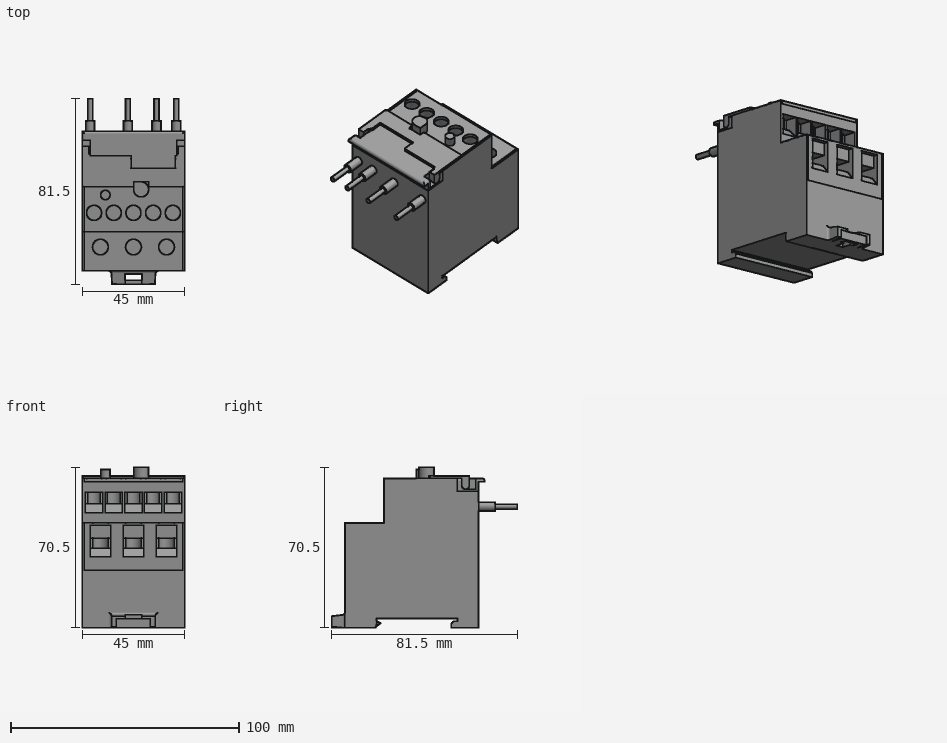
import cadquery as cq


WIDTH = 45.0
REAR_Y = 58.6
UPPER_FRONT_Y = 17.1
LOWER_TIER_Z = 46.05
UPPER_TIER_Z = 65.5
SIDE_WALL = 0.9
INNER_WIDTH = WIDTH - 2 * SIDE_WALL

RAIL_REAR_Y = 49.3
RAIL_FRONT_Y = 13.9
RAIL_DEPTH = 4.1
REAR_LEDGE_Z = 2.9
REAR_LEDGE_Y = 47.7
REAR_HOOK_Y = 46.6
REAR_HOOK_Z = 1.8
FRONT_RELIEF_Y = 13.45
HOOK_TIP_Y = 15.7
HOOK_TIP_Z = 2.0
HOOK_TOP_Z = 2.9
HOOK_BOTTOM_Z = 0.3

LATCH_REACH = 5.8
LATCH_BAR_WIDTH = 14.9
LATCH_BAR_HEIGHT = 4.0
LATCH_BAR_PROUD = 0.1
BOSS_BASE_WIDTH = 19.6
BOSS_FRONT_WIDTH = 18.9
BOSS_BASE_HEIGHT = 5.9
BOSS_FRONT_HEIGHT = 5.1
BOSS_UNDERSIDE_RISE = 0.6
BOSS_FILLET = 1.1
BOSS_SLOT_WIDTH = 7.3
BOSS_SLOT_START = 1.4
BOSS_SLOT_END = 4.0
BOSS_RECESS_WIDTH = 3.75
BOSS_RECESS_DEPTH = 4.9
EDGE_MARGIN = 0.1

UPPER_COUNT = 5
UPPER_PITCH = 8.6
UPPER_HOLE_DIAMETER = 6.6
UPPER_HOLE_Y = 25.5
UPPER_WINDOW_WIDTH = 7.7
UPPER_WINDOW_TOP = 59.4
UPPER_WINDOW_FLOOR = 54.45
UPPER_WINDOW_SILL = 50.4
UPPER_RAMP_DEPTH = 4.6
UPPER_WINDOW_DEPTH = 6.6

LOWER_COUNT = 3
LOWER_PITCH = 14.5
LOWER_HOLE_DIAMETER = 6.85
LOWER_HOLE_Y = 10.5
LOWER_WINDOW_WIDTH = 9.05
LOWER_WINDOW_TOP = 44.9
LOWER_LINTEL_Z = 39.4
LOWER_LINTEL_DEPTH = 2.45
LOWER_WINDOW_FLOOR = 34.8
LOWER_WINDOW_SILL = 31.2
LOWER_RAMP_DEPTH = 3.3
TERMINAL_BLOCK_BOTTOM = 25.2

LID_THICKNESS = 1.55
PLATE_THICKNESS = 1.15
PLATE_FRONT_Y = 36.8
PLATE_REAR_Y = 54.6
PLATE_CHAMFER = 0.5
PLATE_TOP_Z = UPPER_TIER_Z + PLATE_THICKNESS
CUTOUT_REAR_WIDTH = 39.1
CUTOUT_REAR_Y = 51.6
CUTOUT_MIDDLE_Y = 50.5
PRONG_WIDTH_Y = 3.35
PRONG_BOTTOM_Z = 60.8
DIAL_DIAMETER = 6.6
DIAL_X = 3.35
DIAL_Y = 35.8
DIAL_TOP_Z = 70.5
BUTTON_DIAMETER = 4.15
BUTTON_X = -12.3
BUTTON_Y = 33.3
BUTTON_TOP_Z = 69.5

COVER_FRONT_Y = 49.3
COVER_BOTTOM_Z = 60.0
COVER_LIP_Y = 61.3
COVER_LIP_THICKNESS = 1.55
COVER_FILLET = 1.15
COVER_NECK_WIDTH = 38.0
COVER_POCKET_REAR_Y = 57.4
TONGUE_LEFT_X = -1.1
TONGUE_RIGHT_X = 18.4
TONGUE_FRONT_Y = 45.0

PIN_POSITIONS_X = (-19.0, -2.45, 10.1, 18.75)
PIN_Z = 53.1
PIN_DIAMETER = 2.3
SLEEVE_DIAMETER = 4.0
SLEEVE_END_Y = 65.85
PIN_END_Y = 75.6


def box_between(x0, x1, y0, y1, z0, z1):
    """Axis-aligned box given by its limits."""
    return cq.Workplane("XY").box(x1 - x0, y1 - y0, z1 - z0, centered=False).translate((x0, y0, z0))


def centered_box(width, y0, y1, z0, z1):
    """Box symmetric about the plane X = 0."""
    return box_between(-width / 2, width / 2, y0, y1, z0, z1)


def side_profile(points, width, center_x=0):
    """Closed (Y, Z) outline extruded along X, centred on center_x."""
    outline = cq.Workplane("YZ").polyline(points).close()
    return outline.extrude(width / 2, both=True).translate((center_x, 0, 0))


def upright_cylinder(diameter, x, y, z0, z1):
    return cq.Workplane("XY", origin=(x, y, z0)).circle(diameter / 2).extrude(z1 - z0)


def row(count, pitch):
    """X positions of a row centred on X = 0."""
    return [(i - (count - 1) / 2) * pitch for i in range(count)]


def upper_screw_hole(x):
    return upright_cylinder(UPPER_HOLE_DIAMETER, x, UPPER_HOLE_Y, UPPER_WINDOW_FLOOR, UPPER_TIER_Z)


def upper_terminal(x):
    """Space of one upper terminal: ramped window and vertical screw hole."""
    window = side_profile(
        [
            (UPPER_FRONT_Y, UPPER_WINDOW_SILL),
            (UPPER_FRONT_Y, UPPER_WINDOW_TOP),
            (UPPER_FRONT_Y + UPPER_WINDOW_DEPTH, UPPER_WINDOW_TOP),
            (UPPER_FRONT_Y + UPPER_WINDOW_DEPTH, UPPER_WINDOW_FLOOR),
            (UPPER_FRONT_Y + UPPER_RAMP_DEPTH, UPPER_WINDOW_FLOOR),
        ],
        UPPER_WINDOW_WIDTH,
        x,
    )
    return window.union(upper_screw_hole(x))


def lower_screw_hole(x):
    return upright_cylinder(LOWER_HOLE_DIAMETER, x, LOWER_HOLE_Y, LOWER_WINDOW_FLOOR, LOWER_TIER_Z)


def lower_terminal(x):
    """Space of one lower terminal: window with a shallow upper part, ramp and vertical screw hole."""
    window = side_profile(
        [
            (0, LOWER_WINDOW_SILL),
            (0, LOWER_WINDOW_TOP),
            (LOWER_LINTEL_DEPTH, LOWER_WINDOW_TOP),
            (LOWER_LINTEL_DEPTH, LOWER_LINTEL_Z),
            (LOWER_HOLE_Y, LOWER_LINTEL_Z),
            (LOWER_HOLE_Y, LOWER_WINDOW_FLOOR),
            (LOWER_RAMP_DEPTH, LOWER_WINDOW_FLOOR),
        ],
        LOWER_WINDOW_WIDTH,
        x,
    )
    return window.union(lower_screw_hole(x))


def prong_profile(x0, x1, rear_y, top_z):
    """Block from x0 to x1 over the prong's Y range, rounded at the bottom front and stretched to rear_y."""
    front_y = PLATE_REAR_Y - PRONG_WIDTH_Y
    radius = PRONG_WIDTH_Y / 2
    rounded = (
        cq.Workplane("YZ", origin=(x0, 0, 0))
        .moveTo(front_y, top_z)
        .lineTo(front_y, PRONG_BOTTOM_Z + radius)
        .radiusArc((front_y + radius, PRONG_BOTTOM_Z), -radius)
    )
    if rear_y > PLATE_REAR_Y:
        rounded = rounded.lineTo(rear_y, PRONG_BOTTOM_Z)
    else:
        rounded = rounded.radiusArc((rear_y, PRONG_BOTTOM_Z + radius), -radius)
    return rounded.lineTo(rear_y, top_z).close().extrude(x1 - x0)


def lid_blank():
    """Thin lid let into the top of the upper tier, between the side walls."""
    underside_z = UPPER_TIER_Z - LID_THICKNESS
    return centered_box(INNER_WIDTH, UPPER_FRONT_Y, TONGUE_FRONT_Y, underside_z, UPPER_TIER_Z)


def terminal_block_blank():
    """Block let into the lower tier, between the side walls."""
    return centered_box(INNER_WIDTH, 0, UPPER_FRONT_Y, TERMINAL_BLOCK_BOTTOM, LOWER_TIER_Z)


def cover_tongue():
    return box_between(
        TONGUE_LEFT_X, TONGUE_RIGHT_X, TONGUE_FRONT_Y, COVER_FRONT_Y,
        UPPER_TIER_Z - COVER_LIP_THICKNESS, UPPER_TIER_Z,
    )


def latch_boss():
    """Boss whose sides, top and underside taper toward the front."""
    sides = (
        cq.Workplane("XY")
        .polyline(
            [
                (-BOSS_BASE_WIDTH / 2, 0),
                (-BOSS_FRONT_WIDTH / 2, -LATCH_REACH),
                (BOSS_FRONT_WIDTH / 2, -LATCH_REACH),
                (BOSS_BASE_WIDTH / 2, 0),
            ]
        )
        .close()
        .extrude(BOSS_BASE_HEIGHT)
    )
    taper = side_profile(
        [
            (0, 0),
            (-LATCH_REACH, BOSS_UNDERSIDE_RISE),
            (-LATCH_REACH, BOSS_FRONT_HEIGHT),
            (0, BOSS_BASE_HEIGHT),
        ],
        BOSS_BASE_WIDTH,
    )
    return sides.intersect(taper)


def add_front_latch(body):
    """Join the boss with a filleted root and a latch bar, then open its slot and rear recess."""
    body = body.union(latch_boss())
    root = cq.selectors.BoxSelector(
        (-BOSS_BASE_WIDTH, -EDGE_MARGIN, EDGE_MARGIN),
        (BOSS_BASE_WIDTH, EDGE_MARGIN, BOSS_BASE_HEIGHT + EDGE_MARGIN),
    )
    body = body.edges(root).fillet(BOSS_FILLET)

    bar_front_y = -LATCH_REACH - LATCH_BAR_PROUD
    body = body.union(centered_box(LATCH_BAR_WIDTH, bar_front_y, 0, 0, LATCH_BAR_HEIGHT))

    slot = centered_box(BOSS_SLOT_WIDTH, -BOSS_SLOT_END, -BOSS_SLOT_START, 0, BOSS_BASE_HEIGHT)
    above_bar = centered_box(
        BOSS_SLOT_WIDTH, bar_front_y, -BOSS_SLOT_START, LATCH_BAR_HEIGHT, BOSS_BASE_HEIGHT
    )
    recess = centered_box(
        BOSS_RECESS_WIDTH, -BOSS_SLOT_START, BOSS_RECESS_DEPTH - BOSS_SLOT_START, 0, LATCH_BAR_HEIGHT
    )
    return body.cut(slot).cut(above_bar).cut(recess)


def make_housing():
    body = side_profile(
        [
            (FRONT_RELIEF_Y, 0),
            (0, 0),
            (0, LOWER_TIER_Z),
            (UPPER_FRONT_Y, LOWER_TIER_Z),
            (UPPER_FRONT_Y, UPPER_TIER_Z),
            (REAR_Y, UPPER_TIER_Z),
            (REAR_Y, 0),
            (REAR_HOOK_Y, 0),
            (REAR_HOOK_Y, REAR_HOOK_Z),
            (REAR_LEDGE_Y, REAR_LEDGE_Z),
            (RAIL_REAR_Y, REAR_LEDGE_Z),
            (RAIL_REAR_Y, RAIL_DEPTH),
            (RAIL_FRONT_Y, RAIL_DEPTH),
            (RAIL_FRONT_Y, HOOK_TIP_Z),
        ],
        WIDTH,
    )

    body = add_front_latch(body)

    hook = side_profile(
        [
            (FRONT_RELIEF_Y, HOOK_BOTTOM_Z),
            (HOOK_TIP_Y, HOOK_TIP_Z),
            (RAIL_FRONT_Y, HOOK_TOP_Z),
            (FRONT_RELIEF_Y, HOOK_TOP_Z),
        ],
        LATCH_BAR_WIDTH,
    )
    body = body.union(hook)

    body = body.cut(lid_blank()).cut(terminal_block_blank())
    body = body.cut(centered_box(WIDTH, COVER_FRONT_Y, REAR_Y, COVER_BOTTOM_Z, UPPER_TIER_Z))
    body = body.cut(cover_tongue())
    for x in row(UPPER_COUNT, UPPER_PITCH):
        body = body.cut(upper_terminal(x))
    return body


def make_terminal_block():
    block = terminal_block_blank()
    for x in row(LOWER_COUNT, LOWER_PITCH):
        block = block.cut(lower_terminal(x))
    return block


def make_control_panel():
    """Lid and raised plate in one piece, with the setting dial, the button and two side prongs."""
    panel = lid_blank()
    for x in row(UPPER_COUNT, UPPER_PITCH):
        panel = panel.cut(upper_screw_hole(x))

    plate = centered_box(WIDTH, PLATE_FRONT_Y, PLATE_REAR_Y, UPPER_TIER_Z, PLATE_TOP_Z)
    plate = plate.faces("<Y").edges("|Z").chamfer(PLATE_CHAMFER)
    plate = plate.cut(centered_box(CUTOUT_REAR_WIDTH, CUTOUT_REAR_Y, PLATE_REAR_Y, UPPER_TIER_Z, PLATE_TOP_Z))
    plate = plate.cut(centered_box(COVER_NECK_WIDTH, CUTOUT_MIDDLE_Y, CUTOUT_REAR_Y, UPPER_TIER_Z, PLATE_TOP_Z))
    plate = plate.cut(
        box_between(TONGUE_LEFT_X, TONGUE_RIGHT_X, TONGUE_FRONT_Y, CUTOUT_MIDDLE_Y, UPPER_TIER_Z, PLATE_TOP_Z)
    )
    radius = DIAL_DIAMETER / 2
    plate = plate.cut(
        box_between(DIAL_X - radius, DIAL_X + radius, PLATE_FRONT_Y, DIAL_Y + radius, UPPER_TIER_Z, PLATE_TOP_Z)
    )
    panel = panel.union(plate)

    prong = prong_profile(CUTOUT_REAR_WIDTH / 2, WIDTH / 2, PLATE_REAR_Y, PLATE_TOP_Z)
    panel = panel.union(prong).union(prong.mirror("YZ"))

    dial = upright_cylinder(DIAL_DIAMETER, DIAL_X, DIAL_Y, UPPER_TIER_Z, DIAL_TOP_Z)
    corner = box_between(DIAL_X - radius, DIAL_X, DIAL_Y, DIAL_Y + radius, UPPER_TIER_Z, DIAL_TOP_Z)
    button = upright_cylinder(BUTTON_DIAMETER, BUTTON_X, BUTTON_Y, UPPER_TIER_Z, BUTTON_TOP_Z)
    return panel.union(dial.union(corner)).union(button)


def make_rear_cover():
    """Cap across the rear top edge, with an overhanging lip, a forward tongue and two side pockets."""
    cap = side_profile(
        [
            (COVER_FRONT_Y, COVER_BOTTOM_Z),
            (REAR_Y, COVER_BOTTOM_Z),
            (REAR_Y, UPPER_TIER_Z - COVER_LIP_THICKNESS),
            (COVER_LIP_Y, UPPER_TIER_Z - COVER_LIP_THICKNESS),
            (COVER_LIP_Y, UPPER_TIER_Z),
            (COVER_FRONT_Y, UPPER_TIER_Z),
        ],
        WIDTH,
    )
    cap = cap.faces(">Z").edges(">Y or >X or <X").fillet(COVER_FILLET)
    pocket = prong_profile(COVER_NECK_WIDTH / 2, WIDTH / 2, COVER_POCKET_REAR_Y, UPPER_TIER_Z)
    return cap.cut(pocket).cut(pocket.mirror("YZ")).union(cover_tongue())


def make_pin(x):
    """Contact pin with a thicker sleeve against the rear face."""
    rear_face = cq.Workplane("XZ", origin=(x, REAR_Y, PIN_Z))
    sleeve = rear_face.circle(SLEEVE_DIAMETER / 2).extrude(REAR_Y - SLEEVE_END_Y)
    return sleeve.union(rear_face.circle(PIN_DIAMETER / 2).extrude(REAR_Y - PIN_END_Y))


housing = make_housing()
terminal_block = make_terminal_block()
control_panel = make_control_panel()
rear_cover = make_rear_cover()
pins = [make_pin(x) for x in PIN_POSITIONS_X]

result = cq.Compound.makeCompound(
    [
        housing.val(),
        terminal_block.val(),
        control_panel.val(),
        rear_cover.val(),
        *[pin.val() for pin in pins],
    ]
)